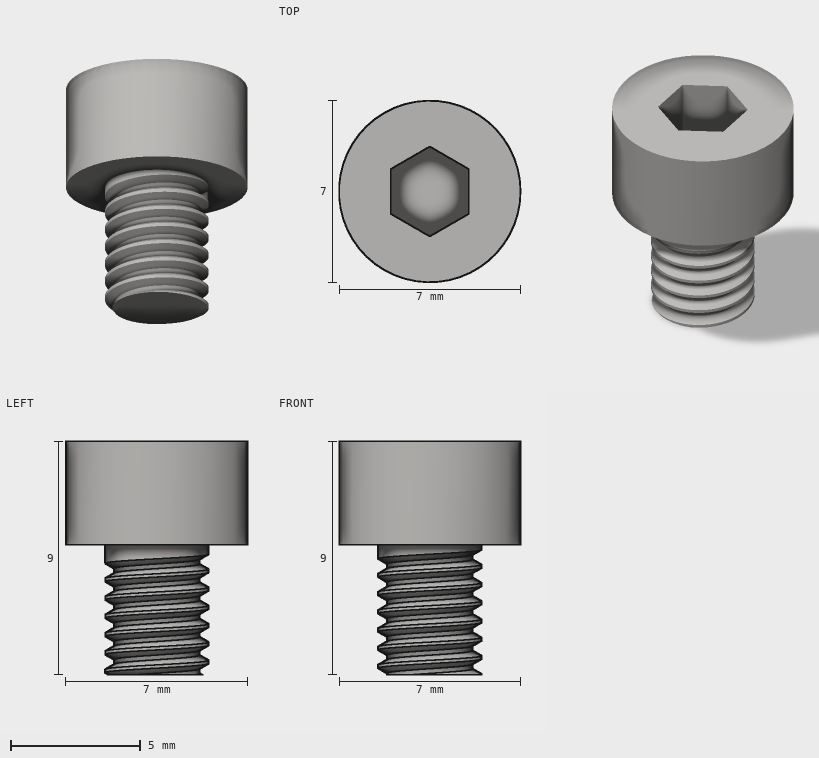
import cadquery as cq
import math

total_height = 9.0
head_diameter = 7.0
head_height = 4.0
socket_across_flats = 3.0
socket_depth = 3.0
thread_diameter = 4.0
thread_pitch = 0.7
thread_depth = 0.34
groove_root_width = 0.18
flank_angle = 30.0
groove_top_offset = 0.3
groove_turns = 8
groove_start_angle = 90.0
cutter_overshoot = 0.03

shank_length = total_height - head_height
crest_radius = thread_diameter / 2
root_radius = crest_radius - thread_depth
groove_top = shank_length - groove_top_offset
groove_height = groove_turns * thread_pitch
groove_bottom = groove_top - groove_height


def make_head():
    """Cylindrical head with a hexagonal socket that has two corners on the Y axis."""
    head = cq.Workplane("XY").workplane(offset=shank_length).circle(head_diameter / 2).extrude(head_height)
    across_corners = socket_across_flats / math.cos(math.radians(30))
    socket = (
        cq.Workplane("XY")
        .workplane(offset=total_height - socket_depth)
        .transformed(rotate=(0, 0, 90))
        .polygon(6, across_corners)
        .extrude(socket_depth)
    )
    return head.cut(socket)


def make_thread_groove():
    """Right-handed helical cutter with a trapezoidal section, running out below the tip."""
    outer_radius = crest_radius + cutter_overshoot
    half_root = groove_root_width / 2
    half_outer = half_root + (outer_radius - root_radius) * math.tan(math.radians(flank_angle))
    helix = cq.Wire.makeHelix(thread_pitch, groove_height, root_radius)
    groove = (
        cq.Workplane("XZ")
        .polyline([
            (root_radius, -half_root),
            (outer_radius, -half_outer),
            (outer_radius, half_outer),
            (root_radius, half_root),
        ])
        .close()
        .sweep(cq.Workplane(helix), isFrenet=True)
    )
    return groove.rotate((0, 0, 0), (0, 0, 1), groove_start_angle).translate((0, 0, groove_bottom))


shank = cq.Workplane("XY").circle(crest_radius).extrude(shank_length)
threaded_shank = shank.cut(make_thread_groove())
result = make_head().union(threaded_shank)